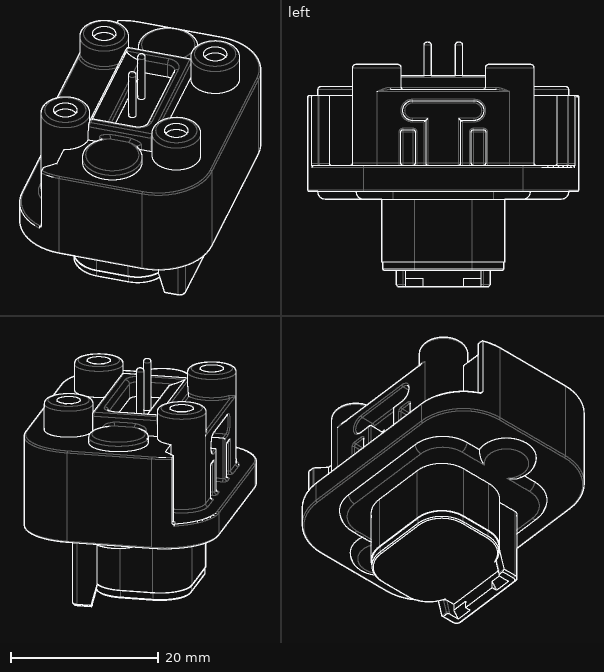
import cadquery as cq
TOLERANCE = 0.02

WIDTH = 26.95
LENGTH = 36.82
CORNER_RADIUS = 7.6
FLANGE_TOP = 3.5
BODY_TOP = 13.05
EDGE_ROUND = 0.22
STEP_X = -7.1
EAR_X = -8.58
STEP_HALF_LENGTH = 15.45
EAR_SLANT = STEP_X - EAR_X
FOOT_ROUND = 0.35

POST_X = 7.88
POST_Y = 9.02
POST_RADIUS = 3.3
POST_TOP = 17.27
POST_ROUND = 0.5
POST_HOLE_RADIUS = 1.6
POST_HOLE_DEPTH = 1.03

BLOCK_FRONT = -POST_X - POST_RADIUS
DECK_TOP = 13.85
SMALL_ROUND = 0.3
RECESS_DEPTH = 2.4
SLOT_LENGTH = 11.05
SLOT_HEIGHT = 2.65
SLOT_Z = 10.97
CHANNEL_WIDTH = 4.75
NICHE_WIDTH = 2.0
NICHE_TOP = 8.35
NICHE_Y = 4.8

COLLAR_HALF_WIDTH = 4.65
COLLAR_HALF_LENGTH = 9.2
COLLAR_TOP = 15.72
COLLAR_FOOT_X = -5.0
POCKET_LEFT = -4.38
POCKET_RIGHT = 2.95
POCKET_HALF_LENGTH = 7.5
POCKET_CORNER = 1.35
POCKET_FLOOR = 13.05
POCKET_ROUND = 0.6
SHELF_RIGHT = -2.15
SHELF_DROP = 0.9
SHELF_ROUND = 0.45

PAD_Y = 13.0
PAD_RADIUS = 4.05
PAD_TOP = 14.25
PAD_ROUND = 0.45

PIN_X = -0.48
PIN_Y = 2.117
PIN_RADIUS = 0.5
PIN_TOP = 20.3
PIN_ROUND = 0.45

SKIRT_WIDTH = 22.15
SKIRT_LENGTH = 23.65
SKIRT_CORNER = 4.97
SKIRT_DEPTH = 1.05
SKIRT_ROUND = 1.03

NECK_LEFT = -8.15
NECK_RIGHT = 5.3
NECK_LENGTH = 16.7
NECK_CORNER = 4.45
NECK_STEP_Z = -9.6
NECK_BOTTOM = -10.75
NECK_STEP = 0.1
NECK_CHAMFER = 0.2
KEY_LEFT = 4.53
KEY_TIP_LEFT = 5.38
KEY_RIGHT = 8.15
KEY_LENGTH = 12.8
KEY_CORNER = 0.8
KEY_BOTTOM = -12.95
KEY_CHAMFER = 0.3
KEY_RECESS_X = 6.45
KEY_RECESS_HALF_LENGTH = 5.15
KEY_TOOTH_HALF_LENGTH = 2.72
KEY_BEVEL_DEPTH = 0.8
KEY_BEVEL_Z = -11.82


class EdgesWhere(cq.Selector):
    """Keeps the edges whose centre point passes a test."""

    def __init__(self, test):
        self.test = test

    def filter(self, edges):
        return [edge for edge in edges if self.test(edge.Center())]


def near(value, target):
    return abs(value - target) < TOLERANCE


def block(x0, x1, length, z0, z1):
    """Box from x0 to x1 and z0 to z1, centred on Y."""
    return cq.Workplane("XY").box(x1 - x0, length, z1 - z0, centered=(False, True, False)).translate((x0, 0, z0))


def rod(x, y, radius, z0, z1):
    """Vertical cylinder."""
    return cq.Workplane("XY").center(x, y).circle(radius).extrude(z1 - z0).translate((0, 0, z0))


def profile_bar(points, length):
    """XZ outline swept along Y, centred on Y."""
    return cq.Workplane("XZ").polyline(points).close().extrude(length / 2, both=True)


def make_slab(height):
    """Rounded rectangle of the whole flange outline."""
    return block(-WIDTH / 2, WIDTH / 2, LENGTH, 0, height).edges("|Z").fillet(CORNER_RADIUS)


def make_step():
    """Space above the flange on the -X side, with rounded feet along the ears."""
    half = STEP_HALF_LENGTH
    outline = [
        (EAR_X, -LENGTH),
        (EAR_X, -half - EAR_SLANT),
        (STEP_X, -half),
        (STEP_X, half),
        (EAR_X, half + EAR_SLANT),
        (EAR_X, LENGTH),
        (-WIDTH, LENGTH),
        (-WIDTH, -LENGTH),
    ]
    step = cq.Workplane("XY", origin=(0, 0, FLANGE_TOP)).polyline(outline).close().extrude(BODY_TOP)
    ear_corners = EdgesWhere(lambda c: near(c.x, EAR_X) and near(abs(c.y), half + EAR_SLANT))
    step = step.edges("|Z").edges(ear_corners).fillet(EDGE_ROUND)
    ear_feet = EdgesWhere(lambda c: abs(c.y) > half and EAR_X - 0.35 < c.x < STEP_X)
    return step.faces("<Z").edges(ear_feet).fillet(SMALL_ROUND)


def make_body():
    body = make_slab(BODY_TOP).faces("<Z or >Z").edges().fillet(EDGE_ROUND)
    flange = make_slab(FLANGE_TOP).faces(">Z").edges().fillet(EDGE_ROUND)
    rim = block(-WIDTH, EAR_X - SMALL_ROUND, 2 * LENGTH, FLANGE_TOP - EDGE_ROUND, FLANGE_TOP)
    return body.cut(make_step()).cut(rim.cut(flange))


def make_front_block():
    """Block between the stepped posts with its slot, channel and two niches."""
    front = block(BLOCK_FRONT, STEP_X + 0.35, 2 * POST_Y, FLANGE_TOP, BODY_TOP)
    deck = block(BLOCK_FRONT, COLLAR_FOOT_X + 0.35, 2 * POST_Y, BODY_TOP, DECK_TOP)
    front = front.union(deck).clean()
    front = front.faces("<X").edges(">Z").fillet(SMALL_ROUND)
    face = cq.Workplane("YZ", origin=(BLOCK_FRONT, 0, 0))
    cutter = face.center(0, SLOT_Z).slot2D(SLOT_LENGTH, SLOT_HEIGHT).extrude(RECESS_DEPTH)
    back = BLOCK_FRONT + RECESS_DEPTH
    cutter = cutter.union(block(BLOCK_FRONT, back, CHANNEL_WIDTH, FLANGE_TOP, SLOT_Z))
    niche = block(BLOCK_FRONT, back, NICHE_WIDTH, FLANGE_TOP, NICHE_TOP)
    niche = niche.edges("|X and >Z").fillet(SMALL_ROUND)
    for side in (-1, 1):
        cutter = cutter.union(niche.translate((0, side * NICHE_Y, 0)))
    cutter = cutter.faces(">X").edges("not <Z").fillet(SMALL_ROUND)
    front = front.cut(cutter)
    recess_rims = EdgesWhere(
        lambda c: abs(c.y) < SLOT_LENGTH / 2 + 0.35 and FLANGE_TOP < c.z - 0.35 < SLOT_Z + SLOT_HEIGHT / 2
    )
    return front.faces("<X").edges(recess_rims).fillet(EDGE_ROUND)


def make_post(x, y):
    bottom = FLANGE_TOP if x < 0 else BODY_TOP
    return rod(x, y, POST_RADIUS, bottom, POST_TOP).faces(">Z").edges().fillet(POST_ROUND)


def make_pocket():
    """Space inside the collar: a deep well with a sloping shelf on its -X side."""
    well = block(POCKET_LEFT, POCKET_RIGHT, 2 * POCKET_HALF_LENGTH, POCKET_FLOOR, COLLAR_TOP)
    well = well.edges("|Z and >X").fillet(POCKET_CORNER)
    shelf = profile_bar(
        [
            (POCKET_LEFT, POCKET_FLOOR),
            (SHELF_RIGHT, POCKET_FLOOR),
            (SHELF_RIGHT, COLLAR_TOP - SHELF_DROP),
            (POCKET_LEFT, COLLAR_TOP),
        ],
        LENGTH,
    )
    shelf = shelf.faces(">X").edges(">Z").fillet(SHELF_ROUND)
    return well.cut(shelf)


def make_collar():
    """Rim around the pocket with a leaning wall beside the deck, blended into the round pads."""
    outline = [
        (COLLAR_FOOT_X, BODY_TOP),
        (COLLAR_HALF_WIDTH, BODY_TOP),
        (COLLAR_HALF_WIDTH, COLLAR_TOP),
        (-COLLAR_HALF_WIDTH, COLLAR_TOP),
        (COLLAR_FOOT_X, DECK_TOP),
    ]
    collar = profile_bar(outline, 2 * COLLAR_HALF_LENGTH)
    pad = rod(0, PAD_Y, PAD_RADIUS, BODY_TOP, PAD_TOP).faces(">Z").edges().fillet(PAD_ROUND)
    collar = collar.union(pad).union(pad.mirror("XZ"))
    pad_seams = EdgesWhere(
        lambda c: near(abs(c.y), COLLAR_HALF_LENGTH)
        and abs(c.x) < PAD_RADIUS / 2
        and BODY_TOP < c.z - TOLERANCE
    )
    collar = collar.edges(pad_seams).fillet(PAD_ROUND)
    collar = collar.faces(">Z").edges().fillet(SMALL_ROUND)
    collar = collar.cut(make_pocket())
    pocket_rim = EdgesWhere(
        lambda c: abs(c.y) < POCKET_HALF_LENGTH + TOLERANCE
        and POCKET_LEFT + TOLERANCE < c.x < POCKET_RIGHT + TOLERANCE
    )
    return collar.faces(">Z").edges(pocket_rim).fillet(POCKET_ROUND)


def make_skirt():
    skirt = block(-SKIRT_WIDTH / 2, SKIRT_WIDTH / 2, SKIRT_LENGTH, -SKIRT_DEPTH, 0)
    skirt = skirt.edges("|Z").fillet(SKIRT_CORNER)
    for side in (-1, 1):
        skirt = skirt.union(rod(0, side * PAD_Y, PAD_RADIUS, -SKIRT_DEPTH, 0))
    return skirt.faces("<Z").edges().fillet(SKIRT_ROUND)


def make_neck():
    neck = block(NECK_LEFT, NECK_RIGHT, NECK_LENGTH, NECK_STEP_Z, 0).edges("|Z").fillet(NECK_CORNER)
    tip = block(
        NECK_LEFT + NECK_STEP, NECK_RIGHT - NECK_STEP, NECK_LENGTH - 2 * NECK_STEP, NECK_BOTTOM, NECK_STEP_Z
    )
    tip = tip.edges("|Z").fillet(NECK_CORNER - NECK_STEP)
    return neck.union(tip.faces("<Z").chamfer(NECK_CHAMFER))


def make_key():
    """Key along the +X side of the neck, tapered and recessed at its tip."""
    key = block(KEY_LEFT, KEY_RIGHT, KEY_LENGTH, KEY_BOTTOM, 0)
    key = key.edges("|Z and >X").fillet(KEY_CORNER)
    key = key.faces("<Z").edges("not <X").chamfer(KEY_CHAMFER)
    tip_z = KEY_BOTTOM + KEY_CHAMFER
    taper = profile_bar(
        [
            (KEY_LEFT, NECK_STEP_Z),
            (KEY_TIP_LEFT, tip_z),
            (KEY_TIP_LEFT, KEY_BOTTOM),
            (KEY_LEFT, KEY_BOTTOM),
        ],
        KEY_LENGTH,
    )
    key = key.cut(taper)
    recess = block(KEY_LEFT, KEY_RECESS_X, 2 * KEY_RECESS_HALF_LENGTH, KEY_BOTTOM, NECK_BOTTOM)
    bevel = profile_bar(
        [
            (KEY_RECESS_X, KEY_BEVEL_Z),
            (KEY_RECESS_X + KEY_BEVEL_DEPTH, KEY_BOTTOM),
            (KEY_RECESS_X, KEY_BOTTOM),
        ],
        2 * KEY_RECESS_HALF_LENGTH,
    )
    bevel = bevel.cut(block(KEY_LEFT, KEY_RIGHT, 2 * KEY_TOOTH_HALF_LENGTH, KEY_BOTTOM, 0))
    key = key.cut(recess).cut(bevel)
    recess_corners = EdgesWhere(
        lambda c: near(abs(c.y), KEY_RECESS_HALF_LENGTH) and KEY_LEFT < c.x < KEY_TIP_LEFT + TOLERANCE
    )
    return key.edges("not |X").edges("not |Y").edges(recess_corners).fillet(SMALL_ROUND)


result = make_body().union(make_front_block())
for y in (-POST_Y, POST_Y):
    result = result.union(make_post(-POST_X, y))
foot = EdgesWhere(
    lambda c: near(c.z, FLANGE_TOP)
    and abs(c.y) < POST_Y + POST_RADIUS
    and -POST_X - POST_RADIUS - TOLERANCE < c.x < STEP_X - TOLERANCE
)
result = result.edges(foot).fillet(FOOT_ROUND)

result = result.union(make_collar())
for y in (-POST_Y, POST_Y):
    result = result.union(make_post(POST_X, y))
deck_foot = EdgesWhere(lambda c: near(c.z, DECK_TOP) and BLOCK_FRONT + 2 * SMALL_ROUND < c.x < 0)
result = result.edges(deck_foot).fillet(SMALL_ROUND)
for x in (-POST_X, POST_X):
    for y in (-POST_Y, POST_Y):
        result = result.cut(rod(x, y, POST_HOLE_RADIUS, POST_TOP - POST_HOLE_DEPTH, POST_TOP))
for y in (-PIN_Y, PIN_Y):
    pin = rod(PIN_X, y, PIN_RADIUS, BODY_TOP - 0.35, PIN_TOP)
    result = result.union(pin.faces(">Z").edges().fillet(PIN_ROUND))

result = result.union(make_skirt())
result = result.union(make_neck())
result = result.union(make_key())